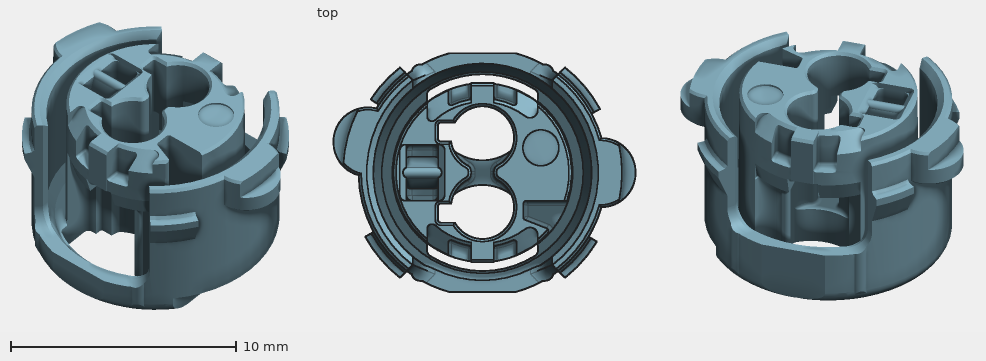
import cadquery as cq
import math

OVERALL_LENGTH = 13.42
TOTAL_HEIGHT = 7.85
FLAT_WIDTH_Y = 10.6
MARGIN = 0.67
CLEARANCE = 0.13
TOLERANCE = 0.01

CUP_RADIUS = 5.5
CUP_HEIGHT = 7.5
BOTTOM_ROUND = 0.72
RIM_CHAMFER = 0.12
BORE_RADIUS = 4.85
RIM_BEVEL = 0.3
FLOOR_Z = 1.21
BORE_TAPER_Z = 1.77
FLOOR_RADIUS = 4.47
BOTTOM_STEP_X = 4.1
BOTTOM_STEP_Z = 1.03

SLOT_HALF_WIDTH = 3.09
SLOT_DIAGONAL = 1.0
SLOT_ROUND = 0.97
FRONT_SLOT_Z = 1.68
BACK_SLOT_Z = 2.78

BEAD_ANGLE = 32.0
BEAD_RADIUS = 0.42
BEAD_REACH = 5.6
BEAD_Z = 0.58

EAR_DIAMETER = 3.07
LEFT_EAR_TILT = 15.0
EAR_BOTTOM_Z = 5.76
EAR_STEP_Z = 6.6
EAR_STEP_RADIUS = 6.19
EAR_CHAMFER = 0.11

CLIP_RADIUS = 5.93
CLIP_ROOT_RADIUS = 5.37
CLIP_TOP_Z = 6.03
CLIP_ROOT_BEVEL = 0.12
CLIP_SHOULDER_Z = 5.85
CLIP_EDGE_Z = 5.49
CLIP_BOTTOM_Z = 4.4
CLIPS = [(1, 1, 28.4), (-1, 1, 33.2), (-1, -1, 28.6), (1, -1, 31.1)]

CORE_RADIUS = 3.96
CORE_FOOT_RADIUS = 4.01
TOP_CHAMFER = 0.12
HEAD_BOTTOM_Z = 4.65
HEAD_TAPER_Z = 5.52
HEAD_TAPER_RADIUS = 3.72
TOP_SLOPE_RADIUS = 3.14
TOP_SLOPE_Z = 7.18
LEFT_SLOPE_ROUND = 0.21
RIGHT_SLOPE_ROUND = 0.35

WINDOW_HALF_WIDTH = 2.45
WINDOW_RADIUS = 4.36
WINDOW_ROUND = 0.27
WINDOW_INNER_Y = 2.52
WINDOW_NOTCH_Y = 1.75
COLUMN_ROUND = 0.8
COLUMN_BEAD_X = 1.18
COLUMN_BEAD_RADIUS = 0.21
OPENING_HALF_WIDTH = 0.71
OPENING_TOP_Z = 5.57

KEY_HALF_WIDTH = 0.51
KEY_FACE_Y = 3.99
KEY_POCKET_X = 1.52
KEY_POCKET_RADIUS = 3.29
KEY_POCKET_Z = 6.2
KEY_POCKET_ROUND = 0.12

HOLE_RADIUS = 1.4
HOLE_Y = 1.55
THROAT_HALF_WIDTH = 0.51
THROAT_ROUND = 0.3
NOTCH_X = -1.97
NOTCH_Y_MIN = 1.38
NOTCH_Y_MAX = 2.21
NOTCH_ROUND = 0.12
SADDLE_Z = 1.73
SADDLE_HALF_WIDTH_Y = 0.55
SADDLE_ARC_RADIUS = 2.13
SADDLE_ROUND = 0.17

BAR_POCKET_X_MIN = -3.38
BAR_POCKET_X_MAX = -1.96
BAR_POCKET_WIDTH_Y = 2.5
BAR_POCKET_DEPTH = 1.61
BAR_POCKET_BEVEL = 0.28
BAR_POCKET_ROUND = 0.25
BAR_POCKET_FLOOR_ROUND = 0.24
BAR_RADIUS = 0.24
BAR_TOP_Z = 7.72
RIB_FOOT_HALF_WIDTH = 0.71

SIDE_POCKET_CORNERS = [
    (1.81, -1.25),
    (4.43, -1.25),
    (4.43, -3.0),
    (2.74, -3.0),
    (2.98, -2.52),
    (1.81, -2.07),
]
SIDE_POCKET_ROUND = 0.13
SIDE_POCKET_FLOOR_ROUND = 0.2
SIDE_POCKET_Z = 1.61
DISC_DIAMETER = 1.6
DISC_X = 2.59
DISC_Y = 1.1
DISC_DEPTH = 0.1


def box(x_min, x_max, y_min, y_max, z_min, z_max):
    size = (x_max - x_min, y_max - y_min, z_max - z_min)
    return cq.Workplane().box(*size, centered=False).translate((x_min, y_min, z_min))


def cylinder(radius, z_min, z_max, x=0.0, y=0.0):
    plane = cq.Workplane().workplane(offset=z_min).center(x, y)
    return plane.circle(radius).extrude(z_max - z_min)


def revolved(points):
    """Ring turned about Z from (radius, z) points."""
    return cq.Workplane("XZ").polyline(points).close().revolve(360, (0, 0), (0, 1))


def both_ends(body):
    """The body together with its mirror image across the XZ plane."""
    return body.union(body.mirror("XZ"))


def make_cup():
    body = cylinder(CUP_RADIUS, 0, CUP_HEIGHT)
    body = body.faces("<Z").edges().fillet(BOTTOM_ROUND)
    body = body.faces(">Z").edges().chamfer(RIM_CHAMFER)
    bore = revolved([
        (0, FLOOR_Z),
        (FLOOR_RADIUS, FLOOR_Z),
        (BORE_RADIUS, BORE_TAPER_Z),
        (BORE_RADIUS, CUP_HEIGHT - RIM_BEVEL),
        (BORE_RADIUS + RIM_BEVEL, CUP_HEIGHT),
        (BORE_RADIUS + RIM_BEVEL, TOTAL_HEIGHT),
        (0, TOTAL_HEIGHT),
    ])
    return body, bore


def make_beads():
    """Rounded beads on the outside of the wall, one at each slot corner."""
    beads = cq.Workplane()
    distance = BEAD_REACH - BEAD_RADIUS
    x = distance * math.sin(math.radians(BEAD_ANGLE))
    y = distance * math.cos(math.radians(BEAD_ANGLE))
    for side_x in (-1, 1):
        for side_y, top in ((-1, FRONT_SLOT_Z), (1, BACK_SLOT_Z)):
            height = top + SLOT_ROUND
            beads = beads.add(cylinder(BEAD_RADIUS, BEAD_Z, height, side_x * x, side_y * y))
    undercut = revolved([
        (CUP_RADIUS, BEAD_Z),
        (CUP_RADIUS + BEAD_RADIUS, BEAD_Z),
        (CUP_RADIUS + BEAD_RADIUS, BEAD_Z + 2 * BEAD_RADIUS),
    ])
    return beads.combine().cut(undercut)


def make_slot(side_y, bottom_z):
    """Wall slot that flares at 45 degrees outside and is rounded at the bottom."""
    corner_y = SLOT_HALF_WIDTH + SLOT_DIAGONAL
    outer_y = CLIP_RADIUS + MARGIN
    outer_x = outer_y - SLOT_DIAGONAL
    outline = [
        (-SLOT_HALF_WIDTH, 0),
        (-SLOT_HALF_WIDTH, corner_y),
        (-outer_x, outer_y),
        (outer_x, outer_y),
        (SLOT_HALF_WIDTH, corner_y),
        (SLOT_HALF_WIDTH, 0),
    ]
    height = TOTAL_HEIGHT + MARGIN - bottom_z
    slot = cq.Workplane().workplane(offset=bottom_z).polyline(outline).close().extrude(height)
    slot = slot.faces("<Z").edges("not #Y").edges("not |X").fillet(SLOT_ROUND)
    return slot if side_y > 0 else slot.mirror("XZ")


def make_ears():
    tilt = math.cos(math.radians(LEFT_EAR_TILT))
    pitch = (OVERALL_LENGTH - EAR_DIAMETER) / (1 + tilt)
    lower = cylinder(EAR_DIAMETER / 2, EAR_BOTTOM_Z, CUP_HEIGHT, pitch)
    lower = lower.faces("<Z or >Z").edges().chamfer(EAR_CHAMFER)
    upper_space = cylinder(OVERALL_LENGTH, EAR_STEP_Z, TOTAL_HEIGHT)
    upper_space = upper_space.cut(cylinder(EAR_STEP_RADIUS, EAR_STEP_Z, TOTAL_HEIGHT))
    ear = lower.cut(upper_space)
    left_ear = ear.rotate((0, 0, 0), (0, 0, 1), 180 - LEFT_EAR_TILT)
    return ear.union(left_ear)


def make_clips():
    ring = revolved([
        (CLIP_ROOT_RADIUS, CLIP_TOP_Z),
        (CUP_RADIUS, CLIP_TOP_Z),
        (CUP_RADIUS + CLIP_ROOT_BEVEL, CLIP_TOP_Z - CLIP_ROOT_BEVEL),
        (CLIP_RADIUS, CLIP_SHOULDER_Z),
        (CLIP_RADIUS, CLIP_EDGE_Z),
        (CUP_RADIUS, CLIP_BOTTOM_Z),
        (CLIP_ROOT_RADIUS, CLIP_BOTTOM_Z),
    ])
    reach = CLIP_RADIUS + MARGIN
    clips = cq.Workplane()
    for side_x, side_y, angle in CLIPS:
        end = (reach * math.cos(math.radians(angle)), reach * math.sin(math.radians(angle)))
        outline = [(0, 0), end, (reach, reach + SLOT_DIAGONAL), (0, SLOT_DIAGONAL)]
        outline = [(side_x * x, side_y * y) for x, y in outline]
        sector = cq.Workplane().polyline(outline).close().extrude(TOTAL_HEIGHT)
        clips = clips.add(ring.intersect(sector))
    return clips.combine()


def core_radius(z):
    """Outer radius of the slightly tapered core at height z."""
    return CORE_FOOT_RADIUS + (CORE_RADIUS - CORE_FOOT_RADIUS) * z / TOTAL_HEIGHT


def make_core(through_holes):
    body = revolved([
        (0, 0),
        (CORE_FOOT_RADIUS, 0),
        (CORE_RADIUS, TOTAL_HEIGHT),
        (0, TOTAL_HEIGHT),
    ])
    body = body.cut(through_holes)
    return body.faces(">Z").edges().chamfer(TOP_CHAMFER)


def make_keys():
    inner_y = HOLE_Y + HOLE_RADIUS + TOP_CHAMFER
    key = box(-KEY_HALF_WIDTH, KEY_HALF_WIDTH, inner_y, KEY_FACE_Y, HEAD_TAPER_Z, TOTAL_HEIGHT)
    return both_ends(key.faces(">Z").edges(">Y").chamfer(TOP_CHAMFER))


def make_top_slopes():
    """Conical slope on the head at both ends, with rounded inner corners."""
    ring = revolved([
        (TOP_SLOPE_RADIUS, TOTAL_HEIGHT),
        (core_radius(TOP_SLOPE_Z), TOP_SLOPE_Z),
        (CORE_RADIUS + MARGIN, TOP_SLOPE_Z),
        (CORE_RADIUS + MARGIN, TOTAL_HEIGHT),
    ])
    sector = box(-WINDOW_HALF_WIDTH, WINDOW_HALF_WIDTH, 0, CORE_RADIUS + MARGIN, 0, TOTAL_HEIGHT)
    sector = sector.cut(cylinder(TOP_SLOPE_RADIUS, 0, TOTAL_HEIGHT))
    inner_corners = cq.selectors.BoxSelector((-CUP_RADIUS, 0, 0), (CUP_RADIUS, CORE_RADIUS, TOTAL_HEIGHT))
    sector = sector.edges("|Z and <X").edges(inner_corners).fillet(LEFT_SLOPE_ROUND)
    sector = sector.edges("|Z and >X").edges(inner_corners).fillet(RIGHT_SLOPE_ROUND)
    return both_ends(ring.intersect(sector))


def make_key_pockets():
    outer_y = CORE_RADIUS + MARGIN
    pocket = box(KEY_HALF_WIDTH, KEY_POCKET_X, 0, outer_y, KEY_POCKET_Z, TOTAL_HEIGHT + MARGIN)
    pocket = pocket.cut(cylinder(KEY_POCKET_RADIUS, 0, TOTAL_HEIGHT + MARGIN))
    inner_edges = cq.selectors.BoxSelector((0, 0, 0), (outer_y, outer_y - CLEARANCE, TOTAL_HEIGHT))
    pocket = pocket.edges(inner_edges).fillet(KEY_POCKET_ROUND)
    return both_ends(pocket.union(pocket.mirror("YZ")))


def make_windows():
    """Openings through the floor that also undercut the core head."""
    half = WINDOW_HALF_WIDTH
    right = box(0, half, WINDOW_INNER_Y, WINDOW_RADIUS, 0, HEAD_BOTTOM_Z)
    right = right.edges("|Z and >X and <Y").fillet(COLUMN_ROUND)
    left = box(-half, 0, WINDOW_NOTCH_Y, WINDOW_RADIUS, 0, HEAD_BOTTOM_Z)
    left = left.edges("|Z and <X and <Y").fillet(WINDOW_ROUND)
    bead = cylinder(COLUMN_BEAD_RADIUS, 0, HEAD_BOTTOM_Z, COLUMN_BEAD_X, WINDOW_INNER_Y)
    window = left.union(right).cut(bead)
    outer = box(-half, half, 0, CUP_RADIUS, 0, HEAD_BOTTOM_Z)
    outer = outer.intersect(cylinder(WINDOW_RADIUS, 0, HEAD_BOTTOM_Z))
    outer = outer.edges("|Z").edges(">Y").fillet(WINDOW_ROUND)
    window = window.intersect(outer)
    taper = revolved([
        (HEAD_TAPER_RADIUS, HEAD_BOTTOM_Z),
        (core_radius(HEAD_TAPER_Z), HEAD_TAPER_Z),
        (CORE_FOOT_RADIUS + CLEARANCE, HEAD_TAPER_Z),
        (CORE_FOOT_RADIUS + CLEARANCE, HEAD_BOTTOM_Z),
    ])
    taper = taper.intersect(box(-half, half, 0, CUP_RADIUS, 0, TOTAL_HEIGHT))
    outer_y = CORE_FOOT_RADIUS + CLEARANCE
    opening = box(-OPENING_HALF_WIDTH, OPENING_HALF_WIDTH, HOLE_Y, outer_y, 0, OPENING_TOP_Z)
    return both_ends(window.union(taper).union(opening))


def make_twin_holes():
    """Two holes with side notches and a throat, leaving a low saddle between them."""
    throat = box(-THROAT_HALF_WIDTH, THROAT_HALF_WIDTH, -HOLE_Y, HOLE_Y, 0, TOTAL_HEIGHT)
    hole = cylinder(HOLE_RADIUS, 0, TOTAL_HEIGHT, 0, HOLE_Y)
    notch = box(NOTCH_X, 0, NOTCH_Y_MIN, NOTCH_Y_MAX, 0, TOTAL_HEIGHT)
    notch = notch.edges("|Z and <X").fillet(NOTCH_ROUND)
    holes = both_ends(hole.union(notch)).union(throat)
    reach_x = THROAT_HALF_WIDTH + TOLERANCE
    throat_edges = cq.selectors.BoxSelector(
        (-reach_x, -HOLE_Y / 2, -MARGIN), (reach_x, HOLE_Y / 2, TOTAL_HEIGHT + MARGIN))
    holes = holes.edges("|Z").edges(throat_edges).fillet(THROAT_ROUND)
    saddle = box(-HOLE_RADIUS, HOLE_RADIUS, -HOLE_Y, HOLE_Y, 0, SADDLE_Z)
    arc_y = SADDLE_HALF_WIDTH_Y + SADDLE_ARC_RADIUS
    saddle = saddle.cut(both_ends(cylinder(SADDLE_ARC_RADIUS, 0, SADDLE_Z, 0, arc_y)))
    holes = holes.cut(saddle)
    for side in (-1, 1):
        near_x, far_x = sorted((side * THROAT_HALF_WIDTH / 2, side * HOLE_RADIUS))
        saddle_sides = cq.selectors.BoxSelector(
            (near_x, -HOLE_Y, SADDLE_Z - TOLERANCE), (far_x, HOLE_Y, SADDLE_Z + TOLERANCE))
        holes = holes.edges(saddle_sides).fillet(SADDLE_ROUND)
    return holes


def make_bar_pocket():
    half = BAR_POCKET_WIDTH_Y / 2
    floor_z = TOTAL_HEIGHT - BAR_POCKET_DEPTH
    pocket = box(BAR_POCKET_X_MIN, BAR_POCKET_X_MAX, -half, half, floor_z, TOTAL_HEIGHT)
    pocket = pocket.edges("|Z").fillet(BAR_POCKET_ROUND)
    pocket = pocket.faces("<Z").edges().fillet(BAR_POCKET_FLOOR_ROUND)
    start_x = BAR_POCKET_X_MIN - BAR_POCKET_BEVEL
    end_x = BAR_POCKET_X_MAX + BAR_POCKET_BEVEL
    bevel_z = TOTAL_HEIGHT - BAR_POCKET_BEVEL
    profile = [
        (BAR_POCKET_X_MIN, bevel_z),
        (BAR_POCKET_X_MAX, bevel_z),
        (end_x, TOTAL_HEIGHT),
        (start_x, TOTAL_HEIGHT),
    ]
    bevel = cq.Workplane("XZ").polyline(profile).close().extrude(half, both=True)
    mouth = box(start_x, end_x, -half, half, bevel_z, TOTAL_HEIGHT)
    mouth = mouth.edges("|Z").fillet(BAR_POCKET_ROUND)
    pocket = pocket.union(bevel.intersect(mouth))
    bar_z = BAR_TOP_Z - BAR_RADIUS
    length = end_x - start_x
    side = cq.Workplane("YZ").workplane(offset=start_x)
    bar = side.center(0, bar_z).circle(BAR_RADIUS).extrude(length)
    rib_outline = [
        (-RIB_FOOT_HALF_WIDTH, floor_z),
        (RIB_FOOT_HALF_WIDTH, floor_z),
        (BAR_RADIUS, bar_z),
        (-BAR_RADIUS, bar_z),
    ]
    rib = side.polyline(rib_outline).close().extrude(length)
    return pocket.cut(bar).cut(rib)


def make_side_pocket():
    height = TOTAL_HEIGHT - SIDE_POCKET_Z
    floor = cq.Workplane().workplane(offset=SIDE_POCKET_Z)
    pocket = floor.polyline(SIDE_POCKET_CORNERS).close().extrude(height)
    pocket = pocket.edges("|Z and (not >X)").edges("not <Y").fillet(SIDE_POCKET_ROUND)
    pocket = pocket.faces("<Z").edges("not >X").edges("not <Y").fillet(SIDE_POCKET_FLOOR_ROUND)
    return pocket.intersect(cylinder(CORE_FOOT_RADIUS, SIDE_POCKET_Z, TOTAL_HEIGHT))


def make_disc_recess():
    return cylinder(DISC_DIAMETER / 2, TOTAL_HEIGHT - DISC_DEPTH, TOTAL_HEIGHT, DISC_X, DISC_Y)


cup, bore = make_cup()
cup = cup.union(make_beads()).union(make_ears()).union(make_clips()).cut(bore)
cup = cup.cut(make_slot(-1, FRONT_SLOT_Z)).cut(make_slot(1, BACK_SLOT_Z))
half_flat = FLAT_WIDTH_Y / 2
cup = cup.intersect(box(-OVERALL_LENGTH, OVERALL_LENGTH, -half_flat, half_flat, 0, TOTAL_HEIGHT))
cup = cup.cut(box(BOTTOM_STEP_X, OVERALL_LENGTH, -half_flat, half_flat, 0, BOTTOM_STEP_Z))

twin_holes = make_twin_holes()
core = make_core(twin_holes)
core = core.cut(make_top_slopes()).cut(make_key_pockets()).union(make_keys())
core = core.cut(make_bar_pocket()).cut(make_side_pocket()).cut(make_disc_recess())

result = cup.union(core).cut(make_windows()).cut(twin_holes)